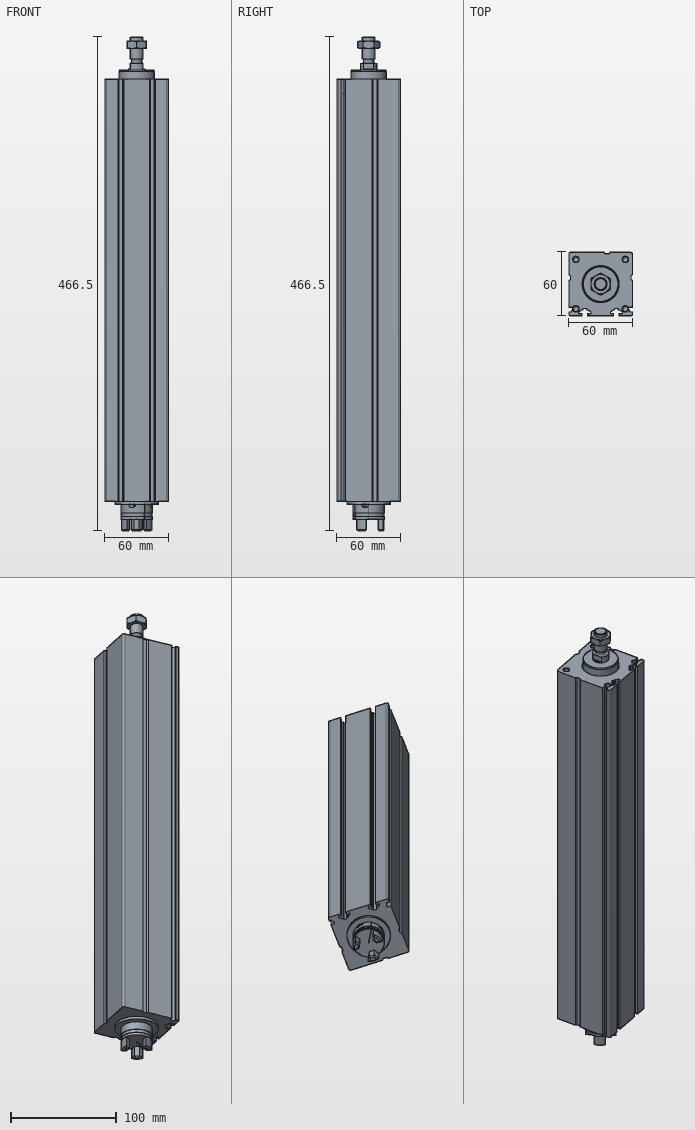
import cadquery as cq
import math

HOUSING_SIDE = 60.0
HOUSING_HEIGHT = 399.0
CORNER_RADIUS = 2.0
HALF_SIDE = HOUSING_SIDE / 2

CORNER_HOLE_OFFSET = 23.5
CORNER_HOLE_DIAMETER = 5.0
CORNER_HOLE_DEPTH = 14.0
CORNER_HOLE_CHAMFER = 0.5
DRILL_TIP_SLOPE = 31
DRILL_TIP_HEIGHT = CORNER_HOLE_DIAMETER / 2 * math.tan(math.radians(DRILL_TIP_SLOPE))

SENSOR_GROOVE_OPENING = 5.5
SENSOR_GROOVE_FLOOR = 3.7
SENSOR_GROOVE_DEPTH = 1.5
SENSOR_GROOVE_SHIFT = 6.0

SENSOR_GROOVES = [
    (0, SENSOR_GROOVE_SHIFT),
    (90, -SENSOR_GROOVE_SHIFT),
    (180, -SENSOR_GROOVE_SHIFT),
]

T_SLOT_OFFSET = 15.0
T_SLOT_OPENING = 5.0
T_SLOT_INNER_WIDTH = 11.0
T_SLOT_ROOF_WIDTH = 6.0
T_SLOT_LIP = 2.5
T_SLOT_STRAIGHT = 1.5
T_SLOT_DEPTH = 5.5
T_SLOT_GROOVE_WIDTH = 3.5
T_SLOT_GROOVE_DEPTH = 7.0

SIDE_NOTCH_TOP = -22.0
SIDE_NOTCH_BOTTOM = -26.0
SIDE_NOTCH_MIDDLE = -23.5
SIDE_NOTCH_DEPTH = 3.7
SIDE_NOTCH_LOWER_DEPTH = 2.5

COLLAR_BORE_DIAMETER = 35.0
COLLAR_BORE_DEPTH = 4.5

COLLAR_DIAMETER = 33.5
COLLAR_HEIGHT = 8.5
COLLAR_CHAMFER_HEIGHT = 1.5
COLLAR_CHAMFER_WIDTH = 0.5

ROD_DIAMETER = 15.5
ROD_SHOULDER = 15.0
ROD_FLATS = 12.0
ROD_FLATS_BOTTOM = 9.5
NECK_DIAMETER = 10.0
NECK_TOP = 19.0
NECK_FILLET = 1.0
STUD_DIAMETER = 12.0
STUD_TOP = 39.5
STUD_CHAMFER_HEIGHT = 0.5
STUD_CHAMFER_WIDTH = 1.0

NUT_FLATS = 18.0
NUT_BOTTOM = 29.0
NUT_HEIGHT = 7.0
NUT_CHAMFER_HEIGHT = 1.0

FLANGE_DIAMETER = 41.0
FLANGE_THICKNESS = 3.0
HUB_DIAMETER = 30.0
HUB_BOTTOM = -17.0
JAW_BOTTOM = -28.0
JAW_COUNT = 3
FIRST_JAW_ANGLE = 90
JAW_DIAMETER = 29.5
JAW_INNER_REACH = 9.0
JAW_INNER_WIDTH = 4.5
JAW_OUTER_WIDTH = 12.0
JAW_CHAMFER = 1.5
SLIT_ANGLE = 300
SLIT_WIDTH = 0.5
GROOVE_TOP = -10.7
GROOVE_BOTTOM = -14.0
GROOVE_DEPTH = 0.25
CLAMP_OFFSET = 10.0
CLAMP_DIAMETER = 4.0
CLAMP_Z = -3.7
CLAMP_SCREW_LENGTH = 16.0


def cylinder(diameter, bottom, top):
    return cq.Workplane("XY").workplane(offset=bottom).circle(diameter / 2).extrude(top - bottom)


def profile_cut(points):
    return cq.Workplane("XY").polyline(points).close().extrude(HOUSING_HEIGHT)


def t_slot(x):
    bottom = -HALF_SIDE
    lip = bottom + T_SLOT_LIP
    right_half = [
        (T_SLOT_OPENING / 2, bottom),
        (T_SLOT_OPENING / 2, lip),
        (T_SLOT_INNER_WIDTH / 2, lip),
        (T_SLOT_INNER_WIDTH / 2, lip + T_SLOT_STRAIGHT),
        (T_SLOT_ROOF_WIDTH / 2, bottom + T_SLOT_DEPTH),
        (T_SLOT_GROOVE_WIDTH / 2, bottom + T_SLOT_DEPTH),
        (T_SLOT_GROOVE_WIDTH / 2, bottom + T_SLOT_GROOVE_DEPTH),
    ]
    left_half = [(-u, y) for u, y in reversed(right_half)]
    return profile_cut([(x + u, y) for u, y in right_half + left_half])


def side_notch(side):
    return profile_cut([
        (side * HALF_SIDE, SIDE_NOTCH_TOP),
        (side * (HALF_SIDE - SIDE_NOTCH_DEPTH), SIDE_NOTCH_TOP),
        (side * (HALF_SIDE - SIDE_NOTCH_DEPTH), SIDE_NOTCH_MIDDLE),
        (side * (HALF_SIDE - SIDE_NOTCH_LOWER_DEPTH), SIDE_NOTCH_BOTTOM),
        (side * HALF_SIDE, SIDE_NOTCH_BOTTOM),
    ])


def sensor_groove(angle, shift):
    floor = HALF_SIDE - SENSOR_GROOVE_DEPTH
    groove = profile_cut([
        (HALF_SIDE, shift - SENSOR_GROOVE_OPENING / 2),
        (HALF_SIDE, shift + SENSOR_GROOVE_OPENING / 2),
        (floor, shift + SENSOR_GROOVE_FLOOR / 2),
        (floor, shift - SENSOR_GROOVE_FLOOR / 2),
    ])
    return groove.rotate((0, 0, 0), (0, 0, 1), angle)


def corner_hole(x, y):
    bottom = HOUSING_HEIGHT - CORNER_HOLE_DEPTH
    radius = CORNER_HOLE_DIAMETER / 2
    hole = cylinder(CORNER_HOLE_DIAMETER, bottom, HOUSING_HEIGHT)
    tip = cq.Solid.makeCone(0, radius, DRILL_TIP_HEIGHT, pnt=cq.Vector(0, 0, bottom - DRILL_TIP_HEIGHT))
    mouth = cq.Solid.makeCone(
        radius,
        radius + CORNER_HOLE_CHAMFER,
        CORNER_HOLE_CHAMFER,
        pnt=cq.Vector(0, 0, HOUSING_HEIGHT - CORNER_HOLE_CHAMFER),
    )
    return hole.union(cq.Workplane(tip)).union(cq.Workplane(mouth)).translate((x, y, 0))


def make_housing():
    housing = cq.Workplane("XY").rect(HOUSING_SIDE, HOUSING_SIDE).extrude(HOUSING_HEIGHT)
    housing = housing.edges("|Z").fillet(CORNER_RADIUS)
    for side in (-1, 1):
        housing = housing.cut(t_slot(side * T_SLOT_OFFSET)).cut(side_notch(side))
    for angle, shift in SENSOR_GROOVES:
        housing = housing.cut(sensor_groove(angle, shift))
    for x in (-CORNER_HOLE_OFFSET, CORNER_HOLE_OFFSET):
        for y in (-CORNER_HOLE_OFFSET, CORNER_HOLE_OFFSET):
            housing = housing.cut(corner_hole(x, y))
    return housing.cut(cylinder(COLLAR_BORE_DIAMETER, HOUSING_HEIGHT - COLLAR_BORE_DEPTH, HOUSING_HEIGHT))


def make_collar():
    bottom = HOUSING_HEIGHT - COLLAR_BORE_DEPTH
    collar = cylinder(COLLAR_DIAMETER, bottom, HOUSING_HEIGHT + COLLAR_HEIGHT)
    collar = collar.faces(">Z").chamfer(COLLAR_CHAMFER_HEIGHT, COLLAR_CHAMFER_WIDTH)
    return collar.cut(cylinder(ROD_DIAMETER, bottom, HOUSING_HEIGHT + COLLAR_HEIGHT))


def make_rod():
    shoulder = HOUSING_HEIGHT + ROD_SHOULDER
    neck_top = HOUSING_HEIGHT + NECK_TOP
    top = HOUSING_HEIGHT + STUD_TOP
    rod = cylinder(ROD_DIAMETER, HOUSING_HEIGHT - COLLAR_BORE_DEPTH, shoulder)
    flats_bottom = HOUSING_HEIGHT + ROD_FLATS_BOTTOM
    flats = (
        cq.Workplane("XY").workplane(offset=flats_bottom)
        .rect(ROD_DIAMETER, ROD_DIAMETER).rect(ROD_FLATS, ROD_DIAMETER)
        .extrude(shoulder - flats_bottom)
    )
    stud = cylinder(STUD_DIAMETER, neck_top, top).faces(">Z").chamfer(STUD_CHAMFER_HEIGHT, STUD_CHAMFER_WIDTH)
    neck_radius = NECK_DIAMETER / 2
    neck = (
        cq.Workplane("XZ")
        .moveTo(0, shoulder)
        .lineTo(neck_radius + NECK_FILLET, shoulder)
        .radiusArc((neck_radius, shoulder + NECK_FILLET), NECK_FILLET)
        .lineTo(neck_radius, neck_top - NECK_FILLET)
        .radiusArc((neck_radius + NECK_FILLET, neck_top), NECK_FILLET)
        .lineTo(0, neck_top)
        .close()
        .revolve(360, (0, 0), (0, 1))
    )
    return rod.cut(flats).union(neck).union(stud)


def make_nut():
    bottom = HOUSING_HEIGHT + NUT_BOTTOM
    corners = NUT_FLATS / math.cos(math.pi / 6)
    nut = cq.Workplane("XY").polygon(6, corners).extrude(NUT_HEIGHT).rotate((0, 0, 0), (0, 0, 1), 30)
    barrel = (
        cq.Workplane("XZ")
        .polyline([
            (0, 0),
            (NUT_FLATS / 2, 0),
            (corners / 2, NUT_CHAMFER_HEIGHT),
            (corners / 2, NUT_HEIGHT - NUT_CHAMFER_HEIGHT),
            (NUT_FLATS / 2, NUT_HEIGHT),
            (0, NUT_HEIGHT),
        ])
        .close()
        .revolve(360, (0, 0), (0, 1))
    )
    nut = nut.intersect(barrel).translate((0, 0, bottom))
    return nut.cut(cylinder(STUD_DIAMETER, bottom, bottom + NUT_HEIGHT))


def make_flange():
    ring = cylinder(FLANGE_DIAMETER, -FLANGE_THICKNESS, 0)
    return ring.cut(cylinder(HUB_DIAMETER, -FLANGE_THICKNESS, 0))


def clamp_cylinder(length):
    return (
        cq.Workplane("XZ").center(CLAMP_OFFSET, CLAMP_Z).circle(CLAMP_DIAMETER / 2)
        .extrude(length / 2, both=True)
        .rotate((0, 0, 0), (0, 0, 1), SLIT_ANGLE)
    )


def make_jaw(angle):
    outline = [
        (JAW_INNER_REACH, -JAW_INNER_WIDTH / 2),
        (HUB_DIAMETER / 2, -JAW_OUTER_WIDTH / 2),
        (HUB_DIAMETER / 2, JAW_OUTER_WIDTH / 2),
        (JAW_INNER_REACH, JAW_INNER_WIDTH / 2),
    ]
    wedge = (
        cq.Workplane("XY").workplane(offset=JAW_BOTTOM)
        .polyline(outline).close().extrude(HUB_BOTTOM - JAW_BOTTOM)
    )
    jaw = wedge.intersect(cylinder(JAW_DIAMETER, JAW_BOTTOM, HUB_BOTTOM))
    return jaw.faces("<Z").chamfer(JAW_CHAMFER).rotate((0, 0, 0), (0, 0, 1), angle)


def make_coupling():
    coupling = cylinder(HUB_DIAMETER, HUB_BOTTOM, 0)
    groove = cylinder(HUB_DIAMETER, GROOVE_BOTTOM, GROOVE_TOP)
    groove = groove.cut(cylinder(HUB_DIAMETER - 2 * GROOVE_DEPTH, GROOVE_BOTTOM, GROOVE_TOP))
    slit = (
        cq.Workplane("XY").center(HUB_DIAMETER / 2, 0).rect(HUB_DIAMETER, SLIT_WIDTH).extrude(HUB_BOTTOM)
        .rotate((0, 0, 0), (0, 0, 1), SLIT_ANGLE)
    )
    coupling = coupling.cut(groove).cut(slit).cut(clamp_cylinder(HUB_DIAMETER))
    for index in range(JAW_COUNT):
        coupling = coupling.union(make_jaw(FIRST_JAW_ANGLE + 360 / JAW_COUNT * index))
    return coupling


def make_clamp_screw():
    return clamp_cylinder(CLAMP_SCREW_LENGTH)


result = cq.Compound.makeCompound([
    make_housing().val(),
    make_collar().val(),
    make_rod().val(),
    make_nut().val(),
    make_flange().val(),
    make_coupling().val(),
    make_clamp_screw().val(),
])